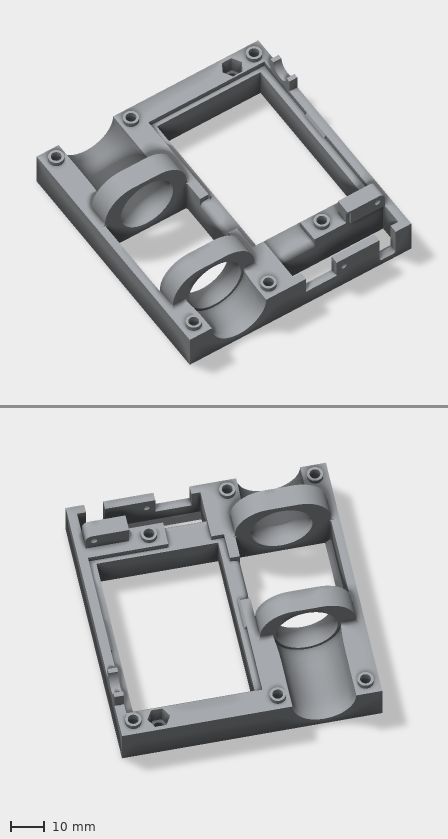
import cadquery as cq
import math

body_x = 81.8
body_y = 78.4
body_z = 12.0
overall_z = 23.2

seat_depth = 2.0
seat_x = (7.6, 63.3)
seat_y = (34.5, 75.5)
window_x = (9.0, 62.0)
window_y = (36.6, 73.2)
seat_z = body_z - seat_depth
snap_x = (30.35, 40.5)
snap_reach = 0.65
snap_drop = 0.9

relief_x = (39.75, 54.8)
lip_round = 2.0

slot_x = (71.0, 79.1)
slot_y = (38.4, seat_y[1])
slot_foot = 1.7
shelf_top_y = 51.3

notch_round = 1.0
deep_notch_y = (67.1, 72.8)
deep_notch_floor = 2.05
shallow_notch_y = (41.1, 51.95)
shallow_notch_floor = 5.8
wall_hole_y = 54.6
wall_hole_z = 8.5
wall_hole_d = 1.8

bore_y = 17.4
bore_z = body_z
bore_d = 18.5
trough_d = 19.2
flare_d = 20.45
flare_length = 9.0
ring_y = (2.6, 31.5)
ring_round = 10.0
ring_foot_round = 1.0
left_ring_x = (25.4, 32.6)
right_ring_x = (61.9, 68.9)
tube_window_foot = 1.8
tube_window_corner = 0.7

margin = 0.1

bracket_x = (66.7, 71.9)
bracket_y = (62.4, seat_y[1])
bracket_height = 6.0
bracket_round = 2.0
bracket_hole_y = 73.0
bracket_hole_z = 15.4
bracket_hole_d = 2.0
bracket_notch_length = 1.1
bracket_notch_height = 5.0

cradle_x = (10.9, 20.9)
cradle_height = 4.75
cradle_d = 7.0

screw_hole_d = 3.2
boss_d = 4.8
boss_height = 1.55
hole_inset = 4.2
boss_points = [
    (hole_inset, hole_inset),
    (body_x - hole_inset, hole_inset),
    (hole_inset, 30.6),
    (body_x - hole_inset, 30.6),
    (hole_inset, 74.1),
    (67.15, 56.4),
]
nut_point = (hole_inset, 66.4)
nut_flats = 5.9
nut_floor_flats = 4.8
nut_depth = 5.0


def block(x_range, y_range, z_range):
    """Box spanning the given (low, high) ranges."""
    spans = [high - low for low, high in (x_range, y_range, z_range)]
    corner = (x_range[0], y_range[0], z_range[0])
    return cq.Workplane("XY").box(*spans, centered=False).translate(corner)


def rod_x(diameter, y, z, x_range):
    """Cylinder along X."""
    plane = cq.Workplane("YZ", origin=(x_range[0], y, z))
    return plane.circle(diameter / 2).extrude(x_range[1] - x_range[0])


def rods_z(diameter, points, z_range):
    """Upright cylinders at the given points."""
    plane = cq.Workplane("XY", origin=(0, 0, z_range[0]))
    return plane.pushPoints(points).circle(diameter / 2).extrude(z_range[1] - z_range[0])


def holding_ring(x_range):
    """Plate with an arched top that carries the tube bore."""
    plate = block(x_range, ring_y, (0, overall_z))
    return plate.edges("|X and >Z").fillet(ring_round)


def trough(ring_face_x, end_x):
    """Open tube channel that flares smoothly up to the ring face."""
    direction = math.copysign(1, end_x - ring_face_x)
    flare_end_x = ring_face_x + direction * flare_length
    profile = (
        cq.Workplane("XY")
        .moveTo(end_x, 0)
        .lineTo(end_x, trough_d / 2)
        .lineTo(flare_end_x, trough_d / 2)
        .tangentArcPoint((ring_face_x, flare_d / 2), relative=False)
        .lineTo(ring_face_x, 0)
        .close()
    )
    return profile.revolve(360, (0, 0, 0), (1, 0, 0)).translate((0, bore_y, bore_z))


def tube_window():
    """Opening between the rings; its front wall slopes inward at the bottom."""
    x_range = (left_ring_x[1], right_ring_x[0])
    cutter = block(x_range, ring_y, (0, body_z)).edges("|Z").fillet(tube_window_corner)
    foot = (
        cq.Workplane("YZ", origin=(x_range[0], 0, 0))
        .moveTo(ring_y[0], 0)
        .lineTo(ring_y[0] + tube_window_foot, 0)
        .lineTo(ring_y[0], tube_window_foot)
        .close()
        .extrude(x_range[1] - x_range[0])
    )
    return cutter.cut(foot)


def side_slot():
    """Slot whose right wall slopes inward at the bottom."""
    left, right = slot_x
    outline = (
        cq.Workplane("XZ", origin=(0, slot_y[1], 0))
        .moveTo(left, 0)
        .lineTo(right - slot_foot, 0)
        .lineTo(right, slot_foot)
        .lineTo(right, body_z)
        .lineTo(left, body_z)
        .close()
    )
    return outline.extrude(slot_y[1] - slot_y[0])


def wall_notch(y_range, floor_z):
    return block((slot_x[1], body_x), y_range, (floor_z, body_z))


def snap_ridge(wall_y, direction):
    """Ridge of triangular section along a seat wall, undercut below its crest."""
    return (
        cq.Workplane("YZ", origin=(snap_x[0], 0, 0))
        .moveTo(wall_y, body_z)
        .lineTo(wall_y + direction * snap_reach, body_z - snap_drop)
        .lineTo(wall_y, body_z - 2 * snap_drop)
        .close()
        .extrude(snap_x[1] - snap_x[0])
    )


def bracket():
    """Upright plate overhanging the slot, with a notch under its free end."""
    plate = block(bracket_x, bracket_y, (body_z, body_z + bracket_height))
    plate = plate.edges("|X and >Y and >Z").fillet(bracket_round)
    notch = block(
        (slot_x[0], bracket_x[1]),
        (bracket_y[0], bracket_y[0] + bracket_notch_length),
        (body_z, body_z + bracket_notch_height),
    )
    return plate.cut(notch)


def cradle():
    top = body_z + cradle_height
    center_x = sum(cradle_x) / 2
    plate = block(cradle_x, (seat_y[1], body_y), (body_z, top))
    rod = (
        cq.Workplane("XZ", origin=(center_x, body_y, top))
        .circle(cradle_d / 2)
        .extrude(body_y - seat_y[1])
    )
    return plate.cut(rod)


def rounded_ledge(x_range, y_range, lip):
    """Cutter that leaves a ledge at seat height with one rounded lip."""
    opening = block(x_range, y_range, (seat_z - lip_round, body_z))
    ledge = block(x_range, y_range, (0, seat_z)).edges(lip).fillet(lip_round)
    return opening.cut(ledge)


def edges_at_top_face(x_range):
    """Selector for ring edges lying in the top face of the body."""
    return cq.selectors.BoxSelector(
        (x_range[0] - margin, ring_y[0] - margin, body_z - margin),
        (x_range[1] + margin, ring_y[1] + margin, body_z + margin),
    )


def nut_pocket():
    """Hexagonal pocket that narrows toward its floor."""
    corner_ratio = 1 / math.cos(math.pi / 6)
    return (
        cq.Workplane("XY", origin=(*nut_point, body_z))
        .transformed(rotate=(0, 0, 30))
        .polygon(6, nut_flats * corner_ratio)
        .workplane(offset=-nut_depth)
        .polygon(6, nut_floor_flats * corner_ratio)
        .loft()
    )


frame = block((0, body_x), (0, body_y), (0, body_z))
for ring_x in (left_ring_x, right_ring_x):
    frame = frame.union(holding_ring(ring_x))
ring_feet = edges_at_top_face((left_ring_x[0], right_ring_x[1]))
feet_beside_window = edges_at_top_face((left_ring_x[1], right_ring_x[0]))
frame = frame.edges(ring_feet - feet_beside_window).fillet(ring_foot_round)

frame = frame.cut(tube_window())
frame = frame.cut(rod_x(bore_d, bore_y, bore_z, (0, body_x)))
frame = frame.cut(trough(left_ring_x[0], 0))
frame = frame.cut(trough(right_ring_x[1], body_x))

frame = frame.cut(block(seat_x, seat_y, (seat_z, body_z)))
frame = frame.union(snap_ridge(seat_y[1], -1))
frame = frame.union(snap_ridge(seat_y[0], 1))
frame = frame.cut(block(window_x, window_y, (0, body_z)))
frame = frame.cut(rounded_ledge(relief_x, (ring_y[1], seat_y[0]), "<Y and >Z"))
frame = frame.cut(rounded_ledge((seat_x[1], slot_x[0]), (slot_y[0], shelf_top_y), ">X and >Z"))

frame = frame.cut(side_slot())
deep_notch = wall_notch(deep_notch_y, deep_notch_floor)
frame = frame.cut(deep_notch.edges("|X and <Z").fillet(notch_round))
frame = frame.cut(wall_notch(shallow_notch_y, shallow_notch_floor))
frame = frame.cut(rod_x(wall_hole_d, wall_hole_y, wall_hole_z, (slot_x[1], body_x)))

frame = frame.union(bracket())
frame = frame.cut(rod_x(bracket_hole_d, bracket_hole_y, bracket_hole_z, bracket_x))
frame = frame.union(cradle())

frame = frame.union(rods_z(boss_d, boss_points, (body_z, body_z + boss_height)))
frame = frame.cut(rods_z(screw_hole_d, boss_points + [nut_point], (0, overall_z)))
result = frame.cut(nut_pocket())